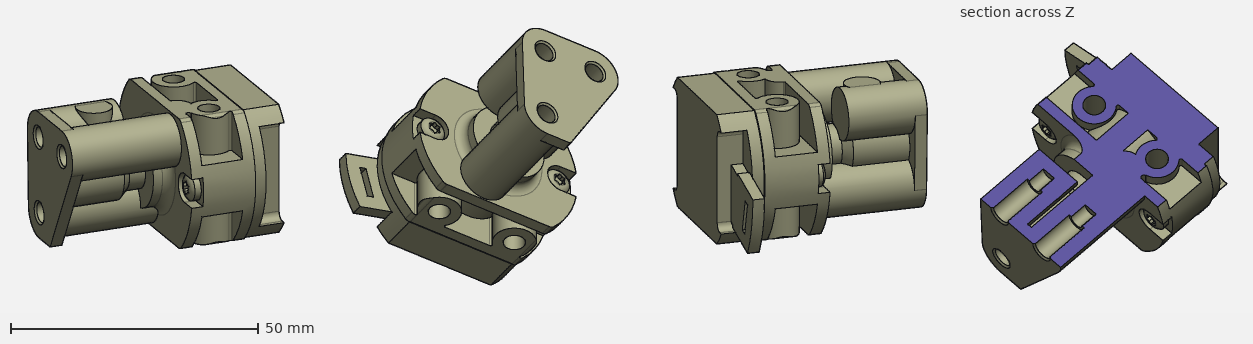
import cadquery as cq
import math


BODY_RADIUS = 19.0
BODY_HALF_HEIGHT = 14.0
BODY_CORNER_FILLET = 1.5
FLANGE_THICKNESS = 2.5
BODY_DEPTH = 14.0
REAR_WALL_THICKNESS = 2.5
POCKET_FLOOR_HALF_HEIGHT = 5.55
CORE_RADIUS = 8.5

BOSS_X = 9.0
BOSS_Y = 8.0
BOSS_RADIUS = 4.5
BOSS_ROOT_FILLET = 0.35
MOUNTING_HOLE_DIAMETER = 4.5

NECK_ROUND_X = 5.4
NECK_ROUND_RADIUS = 3.25
NECK_ROOT_FILLET = 0.3
NECK_RIGHT_X = 10.2
NECK_GAP_END_RADIUS = 0.5

EDGE_TOLERANCE = 0.1

CAP_RADIUS = 18.5
CAP_HALF_HEIGHT = 13.85
CAP_RIM_THICKNESS = 2.5
CAP_DEPTH = 8.0
CAP_RECESS_HALF_HEIGHT = 10.8
CAP_RECESS_WALL_X = 12.5
CAP_RECESS_FILLET = 1.6

TAB_ANGLE = 15.0
TAB_OUTER_RADIUS = 26.0
TAB_WIDTH = 13.0
TAB_THICKNESS = 2.5
TAB_ROOT_RADIUS = 15.4
TAB_ROOT_WIDTH = 12.0
SLOT_RADIUS = 21.75
SLOT_WIDTH = 1.5
SLOT_LENGTH = 7.0

SCREW_X = 15.0
SCREW_RECESS_WIDTH = 6.2
SCREW_HEAD_RADIUS = 2.85
SCREW_HEAD_FLAT_RADIUS = 1.45
SCREW_HEAD_HEIGHT = 2.2
SCREW_HEAD_RIM_HEIGHT = 1.4
SCREW_HEAD_DOME_BULGE = 0.2
SOCKET_OUTER_RADIUS = 1.4
SOCKET_INNER_RADIUS = 1.05
SOCKET_DEPTH = 1.0
SOCKET_LOBES = 6

COLLAR_LENGTH = 4.0
COLLAR_FLARE = 2.0
STEM_RADIUS = 4.5
STEM_LENGTH = 7.5
HUB_RADIUS = 6.1
HUB_START = 9.35

TUBE_RADIUS = 5.5
FRONT_LENGTH = 24.0
PORT_1 = (-4.0, 8.0)
PORT_2 = (-3.5, -8.15)
PORT_3 = (8.0, 8.0)
PORT_1_START = 7.2
PORT_PLATE_THICKNESS = 2.6
PLATE_CORNER_X = 2.1
PORT_DIAMETER = 4.2
PORT_DEPTH = 10.0
PORT_BORE_DIAMETER = 3.0
PORT_BORE_DEPTH = 14.0
PORT_CHAMFER = 0.4
PAD_RADIUS = 3.77
PAD_CENTER_X = -2.2
PAD_DISTANCE = 12.5


def frontal_plane(y):
    """Plane across the axis at the given Y: local x = X, local y = Z, extrusion toward -Y."""
    return cq.Workplane("XZ", origin=(0, y, 0))


def cylinder(radius, y_rear, y_front, center=(0, 0)):
    """Round bar along Y."""
    return frontal_plane(y_rear).center(*center).circle(radius).extrude(y_rear - y_front)


def block(x_range, y_range, z_range):
    size = [high - low for low, high in (x_range, y_range, z_range)]
    corner = (x_range[0], y_range[0], z_range[0])
    return cq.Workplane("XY").box(*size, centered=False).translate(corner)


def truncated_disc(radius, half_height, y_rear, y_front):
    """Disc along Y with flats at the top and the bottom."""
    flats = block((-radius, radius), (y_front, y_rear), (-half_height, half_height))
    return cylinder(radius, y_rear, y_front).intersect(flats)


def body_envelope():
    disc = truncated_disc(BODY_RADIUS, BODY_HALF_HEIGHT, BODY_DEPTH, 0)
    return disc.edges("|Y").edges(">Z or <Z").fillet(BODY_CORNER_FILLET)


def neck():
    """Web between the upper right boss and the flange, in plan, above the pocket floor."""
    height = BODY_HALF_HEIGHT - POCKET_FLOOR_HALF_HEIGHT
    plan = cq.Workplane("XY", origin=(0, 0, POCKET_FLOOR_HALF_HEIGHT))
    web = block(
        (NECK_ROUND_X, NECK_RIGHT_X),
        (FLANGE_THICKNESS, BOSS_Y),
        (POCKET_FLOOR_HALF_HEIGHT, BODY_HALF_HEIGHT),
    )
    gap_end = (
        plan.center(NECK_RIGHT_X, FLANGE_THICKNESS + NECK_GAP_END_RADIUS)
        .circle(NECK_GAP_END_RADIUS)
        .extrude(height)
    )
    rounded_side = plan.center(NECK_ROUND_X, FLANGE_THICKNESS).circle(NECK_ROUND_RADIUS).extrude(height)
    rear_half = block(
        (-BODY_RADIUS, BODY_RADIUS),
        (FLANGE_THICKNESS, BOSS_Y),
        (-BODY_HALF_HEIGHT, BODY_HALF_HEIGHT),
    )
    return web.cut(gap_end).union(rounded_side.intersect(rear_half))


def fillet_upright_edge(solid, x, y, z_range, radius):
    """Fillet the edge parallel to Z that runs through (x, y) within the given heights."""
    selector = cq.selectors.BoxSelector(
        (x - EDGE_TOLERANCE, y - EDGE_TOLERANCE, z_range[0]),
        (x + EDGE_TOLERANCE, y + EDGE_TOLERANCE, z_range[1]),
    )
    return solid.edges("|Z").edges(selector).fillet(radius)


def fillet_boss_roots(solid, wall_y):
    """Round the corners where the bosses run into the rear wall, above and below the middle."""
    root_offset = math.sqrt(BOSS_RADIUS**2 - (wall_y - BOSS_Y) ** 2)
    upper = (POCKET_FLOOR_HALF_HEIGHT, BODY_HALF_HEIGHT)
    lower = (-BODY_HALF_HEIGHT, -POCKET_FLOOR_HALF_HEIGHT)
    for boss_x in (-BOSS_X, BOSS_X):
        for root_x in (boss_x - root_offset, boss_x + root_offset):
            for z_range in (upper, lower):
                solid = fillet_upright_edge(solid, root_x, wall_y, z_range, BOSS_ROOT_FILLET)
    return solid


def fillet_neck_root(solid):
    """Round the corner between the left side of the neck and the flange."""
    neck_left_x = NECK_ROUND_X - NECK_ROUND_RADIUS
    z_range = (POCKET_FLOOR_HALF_HEIGHT, BODY_HALF_HEIGHT)
    return fillet_upright_edge(solid, neck_left_x, FLANGE_THICKNESS, z_range, NECK_ROOT_FILLET)


def housing():
    envelope = body_envelope()
    wall_y = BODY_DEPTH - REAR_WALL_THICKNESS
    full_width = (-BODY_RADIUS, BODY_RADIUS)
    solid_parts = block(full_width, (0, FLANGE_THICKNESS), (-BODY_HALF_HEIGHT, BODY_HALF_HEIGHT))
    rear_wall = block(full_width, (wall_y, BODY_DEPTH), (-BODY_HALF_HEIGHT, BODY_HALF_HEIGHT))
    middle = block(full_width, (0, BODY_DEPTH), (-POCKET_FLOOR_HALF_HEIGHT, POCKET_FLOOR_HALF_HEIGHT))
    bosses = (
        cq.Workplane("XY")
        .pushPoints([(-BOSS_X, BOSS_Y), (BOSS_X, BOSS_Y)])
        .circle(BOSS_RADIUS)
        .extrude(BODY_HALF_HEIGHT, both=True)
    )
    solid_parts = solid_parts.union(rear_wall).union(middle).union(bosses)
    solid_parts = fillet_boss_roots(solid_parts, wall_y)
    core = cylinder(CORE_RADIUS, BODY_DEPTH, 0)
    shell = fillet_neck_root(solid_parts.union(core).union(neck()))
    return shell.intersect(envelope)


def mounting_holes():
    return (
        cq.Workplane("XY")
        .pushPoints([(-BOSS_X, BOSS_Y), (BOSS_X, BOSS_Y)])
        .circle(MOUNTING_HOLE_DIAMETER / 2)
        .extrude(BODY_HALF_HEIGHT, both=True)
    )


def rear_cap():
    """Truncated disc whose sides are recessed behind a full rim, leaving overhanging shoulders."""
    rear_y = BODY_DEPTH + CAP_DEPTH
    recess_front = BODY_DEPTH + CAP_RIM_THICKNESS
    cap = truncated_disc(CAP_RADIUS, CAP_HALF_HEIGHT, rear_y, BODY_DEPTH)
    for side in (-1, 1):
        x_range = sorted((side * CAP_RECESS_WALL_X, side * CAP_RADIUS))
        recess = block(x_range, (recess_front, rear_y), (-CAP_RECESS_HALF_HEIGHT, CAP_RECESS_HALF_HEIGHT))
        inner_face = "<X" if side > 0 else ">X"
        recess = recess.faces(inner_face).edges("|Y").fillet(CAP_RECESS_FILLET)
        cap = cap.cut(recess)
    return cap


def lever_tab():
    """Slotted tab in a radial frame pointing along -X, then turned about the axis."""
    front_y = BODY_DEPTH + CAP_RIM_THICKNESS
    rear_y = front_y + TAB_THICKNESS
    strip = block((-TAB_OUTER_RADIUS, -TAB_ROOT_RADIUS), (front_y, rear_y), (-TAB_WIDTH / 2, TAB_WIDTH / 2))
    tab = strip.intersect(cylinder(TAB_OUTER_RADIUS, rear_y, front_y))
    root = block(
        (-TAB_ROOT_RADIUS, 0),
        (front_y, rear_y),
        (-TAB_ROOT_WIDTH / 2, TAB_ROOT_WIDTH / 2),
    )
    slot = (
        frontal_plane(rear_y)
        .center(-SLOT_RADIUS, 0)
        .rect(SLOT_WIDTH, SLOT_LENGTH)
        .extrude(TAB_THICKNESS)
    )
    return tab.union(root).cut(slot).rotate((0, 0, 0), (0, -1, 0), TAB_ANGLE)


def screw_recess(side):
    """Pocket in the flange, round around the screw and open to the outside."""
    half_width = SCREW_RECESS_WIDTH / 2
    round_end = cylinder(half_width, FLANGE_THICKNESS, 0, (side * SCREW_X, 0))
    x_range = sorted((side * SCREW_X, side * BODY_RADIUS))
    return round_end.union(block(x_range, (0, FLANGE_THICKNESS), (-half_width, half_width)))


def screw_head(side):
    """Domed head with a six-lobe socket."""
    top_y = FLANGE_THICKNESS - SCREW_HEAD_HEIGHT
    rim_y = FLANGE_THICKNESS - SCREW_HEAD_RIM_HEIGHT
    center = (side * SCREW_X, 0)
    head = (
        cq.Workplane("XY")
        .moveTo(0, FLANGE_THICKNESS)
        .lineTo(SCREW_HEAD_RADIUS, FLANGE_THICKNESS)
        .lineTo(SCREW_HEAD_RADIUS, rim_y)
        .sagittaArc((SCREW_HEAD_FLAT_RADIUS, top_y), SCREW_HEAD_DOME_BULGE)
        .lineTo(0, top_y)
        .close()
        .revolve(360, (0, 0, 0), (0, 1, 0))
        .translate((side * SCREW_X, 0, 0))
    )
    lobe_points = []
    for index in range(2 * SOCKET_LOBES):
        radius = SOCKET_INNER_RADIUS if index % 2 else SOCKET_OUTER_RADIUS
        angle = math.pi * (index / SOCKET_LOBES + 0.5)
        lobe_points.append((radius * math.cos(angle), radius * math.sin(angle)))
    socket = frontal_plane(top_y + SOCKET_DEPTH).center(*center).polyline(lobe_points).close()
    return head.cut(socket.extrude(SOCKET_DEPTH))


def collar():
    """Round collar flaring into the flange face with a concave arc."""
    flare_radius = CORE_RADIUS + COLLAR_FLARE
    arc_reach = COLLAR_FLARE * (1 - math.sqrt(0.5))
    return (
        cq.Workplane("XY")
        .moveTo(0, 0)
        .lineTo(flare_radius, 0)
        .threePointArc((CORE_RADIUS + arc_reach, -arc_reach), (CORE_RADIUS, -COLLAR_FLARE))
        .lineTo(CORE_RADIUS, -COLLAR_LENGTH)
        .lineTo(0, -COLLAR_LENGTH)
        .close()
        .revolve(360, (0, 0, 0), (0, 1, 0))
    )


def stem():
    """Stem widening through a cone into the hub between the tubes."""
    return (
        cq.Workplane("XY")
        .polyline([
            (0, 0),
            (STEM_RADIUS, 0),
            (STEM_RADIUS, -STEM_LENGTH),
            (HUB_RADIUS, -HUB_START),
            (HUB_RADIUS, -FRONT_LENGTH),
            (0, -FRONT_LENGTH),
        ])
        .close()
        .revolve(360, (0, 0, 0), (0, 1, 0))
    )


def port_tubes():
    tubes = cylinder(TUBE_RADIUS, -PORT_1_START, -FRONT_LENGTH, PORT_1)
    for center in (PORT_2, PORT_3):
        tubes = tubes.union(cylinder(TUBE_RADIUS, 0, -FRONT_LENGTH, center))
    return tubes


def port_plate():
    """Plate wrapped around the three tubes, with a sharp corner at the lower right."""
    top_z = PORT_1[1] + TUBE_RADIUS
    bottom_z = PORT_2[1] - TUBE_RADIUS

    tilt = math.atan2(PORT_2[0] - PORT_1[0], PORT_1[1] - PORT_2[1])
    left_normal = math.pi + tilt

    dx = PORT_3[0] - PLATE_CORNER_X
    dz = PORT_3[1] - bottom_z
    slope = math.atan2(dz, dx) - math.asin(TUBE_RADIUS / math.hypot(dx, dz))
    right_normal = slope - math.pi / 2

    def on_tube(center, angle):
        return (
            center[0] + TUBE_RADIUS * math.cos(angle),
            center[1] + TUBE_RADIUS * math.sin(angle),
        )

    up = math.pi / 2
    down = 3 * math.pi / 2
    outline = (
        frontal_plane(PORT_PLATE_THICKNESS - FRONT_LENGTH)
        .moveTo(PORT_1[0], top_z)
        .threePointArc(on_tube(PORT_1, (up + left_normal) / 2), on_tube(PORT_1, left_normal))
        .lineTo(*on_tube(PORT_2, left_normal))
        .threePointArc(on_tube(PORT_2, (down + left_normal) / 2), (PORT_2[0], bottom_z))
        .lineTo(PLATE_CORNER_X, bottom_z)
        .lineTo(*on_tube(PORT_3, right_normal))
        .threePointArc(on_tube(PORT_3, (up + right_normal) / 2), (PORT_3[0], top_z))
        .close()
    )
    return outline.extrude(PORT_PLATE_THICKNESS)


def tube_pad():
    """D-shaped flat-topped pad standing on tube 1, straight along the tube's crest."""
    top_z = PORT_1[1] + TUBE_RADIUS
    disc = (
        cq.Workplane("XY", origin=(PAD_CENTER_X, -PAD_DISTANCE, PORT_1[1]))
        .circle(PAD_RADIUS)
        .extrude(TUBE_RADIUS)
    )
    keep = block(
        (PORT_1[0], PAD_CENTER_X + PAD_RADIUS),
        (-PAD_DISTANCE - PAD_RADIUS, -PAD_DISTANCE + PAD_RADIUS),
        (PORT_1[1], top_z),
    )
    return disc.intersect(keep)


def port_bore(center):
    """Stepped blind bore with a chamfered mouth."""
    mouth_y = -FRONT_LENGTH
    bore = cylinder(PORT_DIAMETER / 2, mouth_y + PORT_DEPTH, mouth_y, center)
    bore = bore.union(cylinder(PORT_BORE_DIAMETER / 2, mouth_y + PORT_BORE_DEPTH, mouth_y, center))
    cone = (
        frontal_plane(mouth_y + PORT_CHAMFER)
        .center(*center)
        .circle(PORT_DIAMETER / 2)
        .workplane(offset=PORT_CHAMFER)
        .circle(PORT_DIAMETER / 2 + PORT_CHAMFER)
        .loft()
    )
    return bore.union(cone)


result = housing().cut(mounting_holes())
for feature in (rear_cap(), lever_tab(), collar(), stem(), port_tubes(), port_plate(), tube_pad()):
    result = result.union(feature)
for screw_side in (-1, 1):
    result = result.cut(screw_recess(screw_side)).union(screw_head(screw_side))
for port_center in (PORT_1, PORT_2, PORT_3):
    result = result.cut(port_bore(port_center))